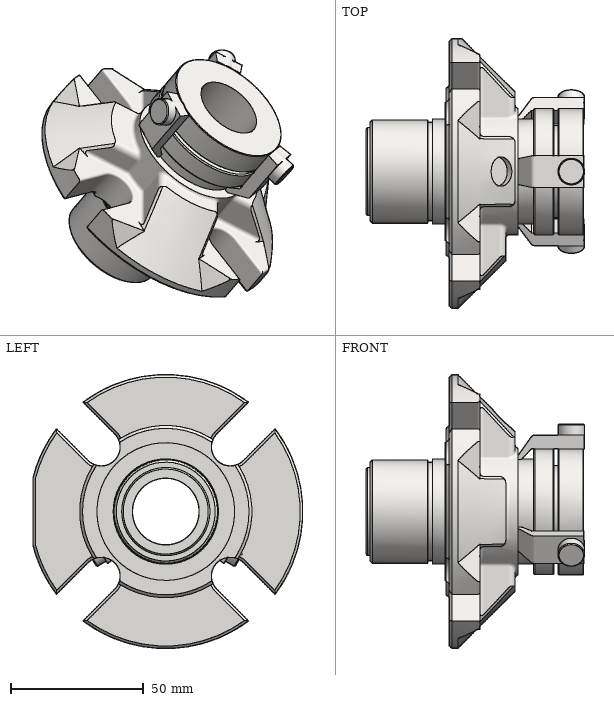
import cadquery as cq
import math


BORE_R = 24.99 / 2
NOSE_R, NOSE_END = 33.18 / 2, 1.5
SLEEVE_R, SLEEVE_END = 38.96 / 2, 23.4
NECK_R, NECK_END = 37.12 / 2, 25.0
SHOULDER_R = 39.6 / 2
NOSE_CHAMFER, SLEEVE_CHAMFER, NECK_CHAMFER = 0.6, 0.9, 0.3

GASKET_R, GASKET_X = 51.79 / 2, 29.8
REGISTER_X, REGISTER_TIP_R, REGISTER_BASE_R = 30.1, 31.3, 32.4
FLANGE_X, FLANGE_END, FLANGE_R = 31.3, 42.9, 103.12 / 2
FLAT_Y = 50.0
BACK_CHAMFER, FRONT_FILLET = 1.0, 0.9
SLOT_WIDTH, SLOT_CENTER_R = 14.1, 34.3
SLOT_COUNT = SECTOR_COUNT = 4

CONE_X = 34.6

CORNER_APEX_SIDE = 19.2
CORNER_TILT_X = math.tan(math.radians(32))
CORNER_TILT_SIDE = math.tan(math.radians(9.3))
CORNER_CUT_SIZE = 90.0

HUB_R, HUB_END = 47.6 / 2, 57.2
RIB_WIDTH, RIB_END, SHORT_RIB_END = 26.4, 56.1, 52.6
RIB_ENDS = (RIB_END, SHORT_RIB_END, RIB_END, RIB_END)
RIB_BLANK_R = 48.0
ROOT_X = FLANGE_END - 5.0
CLEARANCE = 1.0
RIB_CORNER_R = 2.5
RIB_BEVEL, RIB_EDGE_SLOPE, BEVEL_SIDE_TILT = 0.7, 1.07, 1.5
FOOT_FILLET = 1.5
PORT_R, PORT_X, PORT_DEPTH = 11 / 2, 51.0, 2.5

RING_R, RING_X, RING_END, RING_CHAMFER = 47.6 / 2, 63.0, 70.8, 0.5
GROOVE_R = 34.85 / 2
COLLAR_R, COLLAR_X, COLLAR_END, COLLAR_CHAMFER = 47.62 / 2, 72.3, 81.9, 0.3

CLIP_COUNT = 3
CLIP_WIDTH, CLIP_TOE_WIDTH = 12.0, 9.3
CLIP_INNER_R, CLIP_OUTER_R, CLIP_END = 23.6, 28.75, 82.0
CLIP_BEND_X, CLIP_BEND_R = 62.6, 1.7
CLIP_INNER_BEND_X = 62.3
CLIP_INNER_TOE_X, CLIP_TOE_R, CLIP_OUTER_TOE_R = 58.5, 19.6, 21.1
SCREW_R, SCREW_TOP_R, SCREW_CHAMFER = 10 / 2, 32.9, 0.4
PART_LENGTH = 82.24
SCREW_X = PART_LENGTH - SCREW_R


def disc(start, end, radius):
    """Cylinder on the X axis between two stations."""
    return cq.Workplane("YZ").workplane(offset=start).circle(radius).extrude(end - start)


def turned(points):
    """Solid of revolution about X from (x, radius) points."""
    return cq.Workplane("XY").polyline(points).close().revolve(360, (0, 0, 0), (1, 0, 0))


def about_axis(body, angle):
    return body.rotate((0, 0, 0), (1, 0, 0), angle)


def cone_radius(x):
    return FLANGE_R - (x - CONE_X)


def make_sleeve():
    nose = disc(0, NOSE_END, NOSE_R).faces("<X").chamfer(NOSE_CHAMFER)
    barrel = disc(NOSE_END, SLEEVE_END, SLEEVE_R)
    barrel = barrel.faces("<X").chamfer(SLEEVE_CHAMFER).faces(">X").chamfer(NECK_CHAMFER)
    neck = disc(SLEEVE_END, NECK_END, NECK_R)
    shoulder = disc(NECK_END, GASKET_X, SHOULDER_R)
    return nose.union(barrel).union(neck).union(shoulder)


def make_slots():
    """Open round-ended slots on the diagonals, as one cutter."""
    length = FLANGE_R
    slots = cq.Workplane("YZ").workplane(offset=REGISTER_X)
    slots = slots.polarArray(SLOT_CENTER_R + length / 2, 45, 360, SLOT_COUNT)
    return slots.slot2D(length + SLOT_WIDTH, SLOT_WIDTH).extrude(FLANGE_END - REGISTER_X)


def make_corner_cutter():
    """Wedge above one sector, bounded below by two tilted planes."""
    apex_r = math.sqrt(FLANGE_R**2 - CORNER_APEX_SIDE**2)
    cutter = None
    for side in (-1, 1):
        plane = cq.Plane(
            origin=(CONE_X, side * CORNER_APEX_SIDE, apex_r),
            xDir=(1, 0, -CORNER_TILT_X),
            normal=(CORNER_TILT_X, -side * CORNER_TILT_SIDE, 1),
        )
        half = cq.Workplane(plane).rect(CORNER_CUT_SIZE, CORNER_CUT_SIZE).extrude(FLANGE_R)
        cutter = half if cutter is None else cutter.intersect(half)
    return cutter


def make_flange():
    slots = make_slots()
    body = disc(FLANGE_X, FLANGE_END, FLANGE_R)
    flat = cq.Workplane("XY").box(FLANGE_END, FLANGE_R, 2 * FLANGE_R).translate(
        (FLANGE_END, FLAT_Y + FLANGE_R / 2, 0)
    )
    body = body.cut(flat).cut(slots)
    body = body.faces("<X").chamfer(BACK_CHAMFER)
    slot_edges = body.faces(">X").edges(cq.selectors.BoxSelector(
        (0, -FLANGE_R * 0.9, -FLANGE_R * 0.9), (FLANGE_END + 1, FLANGE_R * 0.9, FLANGE_R * 0.9)
    ))
    body = slot_edges.fillet(FRONT_FILLET)

    register = turned([
        (REGISTER_X, 0),
        (REGISTER_X, REGISTER_TIP_R),
        (FLANGE_X, REGISTER_BASE_R),
        (FLANGE_X + BACK_CHAMFER, REGISTER_BASE_R),
        (FLANGE_X + BACK_CHAMFER, 0),
    ]).cut(slots)
    return body.union(register)


def make_rib(end):
    """Rib pointing toward +Z, before it is trimmed to the cone."""
    rib = cq.Workplane("XY").box(end - ROOT_X, RIB_WIDTH, RIB_BLANK_R, centered=(False, True, False))
    return rib.edges(">X and |Z").fillet(RIB_CORNER_R).translate((ROOT_X, 0, 0))


def make_cone_cutter():
    """Everything outside the cone, except the raised corners of the flange."""
    raised = disc(FLANGE_X, FLANGE_END, FLANGE_R + 2 * CLEARANCE)
    corner_cutter = make_corner_cutter()
    for i in range(SECTOR_COUNT):
        raised = raised.cut(about_axis(corner_cutter, i * 360 / SECTOR_COUNT))
    outside_cone = turned([
        (CONE_X - CLEARANCE, cone_radius(CONE_X - CLEARANCE)),
        (HUB_END, cone_radius(HUB_END)),
        (HUB_END, cone_radius(CONE_X - CLEARANCE)),
    ])
    return outside_cone.cut(raised)


def edges_near_axis(body, start, end):
    """Edges whose middles lie between two stations, close to the hub."""
    box = cq.selectors.BoxSelector((start, -HUB_R, -HUB_R), (end, HUB_R, HUB_R))
    return body.edges(box)


def fillet_feet(gland):
    """Round the feet of the ribs on the hub, then on the flange face."""
    gland = edges_near_axis(gland, FLANGE_END + CLEARANCE, HUB_END - CLEARANCE / 2).fillet(FOOT_FILLET)
    hub_arc = HUB_R * math.sqrt(0.5)
    hub_arcs = cq.selectors.BoxSelector(
        (FLANGE_END - CLEARANCE, -hub_arc, -hub_arc), (FLANGE_END + CLEARANCE / 10, hub_arc, hub_arc)
    )
    return gland.edges(hub_arcs).fillet(FOOT_FILLET)


def make_edge_bevel(side):
    """Cutter along one side of the top rib's outer face."""
    edge_x = (FLANGE_END + RIB_END) / 2
    edge_z = math.sqrt(cone_radius(edge_x) ** 2 - (RIB_WIDTH / 2) ** 2)
    bevel = cq.Plane(
        origin=(edge_x, side * (RIB_WIDTH / 2 - RIB_BEVEL), edge_z),
        xDir=(1, 0, -RIB_EDGE_SLOPE),
        normal=(RIB_EDGE_SLOPE, side * BEVEL_SIDE_TILT, 1),
    )
    length = 2 * math.hypot(RIB_END - FLANGE_END, FLANGE_R)
    cutter = cq.Workplane(bevel).rect(length, RIB_WIDTH).extrude(RIB_WIDTH)
    return cutter.intersect(disc(FLANGE_END, HUB_END, 2 * FLANGE_R))


def make_gland():
    """Flange, hub and ribs, trimmed to one common cone."""
    gland = make_flange().union(disc(ROOT_X, HUB_END, HUB_R))
    for i, end in enumerate(RIB_ENDS):
        gland = gland.union(about_axis(make_rib(end), i * 360 / SECTOR_COUNT))
    gland = fillet_feet(gland)
    gland = gland.cut(make_cone_cutter())
    for side in (-1, 1):
        bevel = make_edge_bevel(side)
        for i in range(SECTOR_COUNT):
            gland = gland.cut(about_axis(bevel, i * 360 / SECTOR_COUNT))
    return gland


def add_port(gland):
    """Blind round port square to the cone of the top rib."""
    center = cq.Vector(PORT_X, 0, cone_radius(PORT_X))
    outward = cq.Vector(1, 0, 1).normalized()
    start = center - outward * PORT_DEPTH
    port = cq.Solid.makeCylinder(PORT_R, 3 * PORT_DEPTH, start, outward)
    return gland.cut(cq.Workplane(port))


def make_drive_end():
    tail = disc(HUB_END, RING_X, SHOULDER_R)
    ring = disc(RING_X, RING_END, RING_R).edges().chamfer(RING_CHAMFER)
    groove = disc(RING_END, COLLAR_X, GROOVE_R)
    collar = disc(COLLAR_X, COLLAR_END, COLLAR_R).edges().chamfer(COLLAR_CHAMFER)
    return tail.union(ring).union(groove).union(collar)


def make_clip():
    """Setting clip on the +Z side: bent strip with a tapered toe, and its screw."""
    strip = cq.Workplane("XZ").polyline([
        (HUB_END, CLIP_OUTER_TOE_R),
        (CLIP_BEND_X, CLIP_OUTER_R),
        (CLIP_END, CLIP_OUTER_R),
        (CLIP_END, CLIP_INNER_R),
        (CLIP_INNER_BEND_X, CLIP_INNER_R),
        (CLIP_INNER_TOE_X, CLIP_TOE_R),
        (HUB_END, CLIP_TOE_R),
    ]).close().extrude(CLIP_WIDTH / 2, both=True)
    outer_bend = cq.selectors.NearestToPointSelector((CLIP_BEND_X, 0, CLIP_OUTER_R))
    strip = strip.edges(outer_bend).fillet(CLIP_BEND_R)
    wedge = cq.Workplane("YZ").workplane(offset=HUB_END).polyline([
        (-CLIP_TOE_WIDTH / 2, CLIP_TOE_R),
        (CLIP_TOE_WIDTH / 2, CLIP_TOE_R),
        (CLIP_WIDTH / 2, CLIP_OUTER_R),
        (-CLIP_WIDTH / 2, CLIP_OUTER_R),
    ]).close().extrude(CLIP_END - HUB_END)
    screw = cq.Workplane("XY").workplane(offset=CLIP_INNER_R).center(SCREW_X, 0)
    screw = screw.circle(SCREW_R).extrude(SCREW_TOP_R - CLIP_INNER_R)
    screw = screw.faces(">Z").chamfer(SCREW_CHAMFER)
    return strip.intersect(wedge).union(screw)


def make_part():
    part = make_sleeve().union(disc(GASKET_X, FLANGE_X, GASKET_R))
    part = part.union(add_port(make_gland())).union(make_drive_end())
    clip = make_clip()
    for i in range(CLIP_COUNT):
        part = part.union(about_axis(clip, i * 360 / CLIP_COUNT))
    return part.cut(disc(0, PART_LENGTH, BORE_R))


result = make_part()